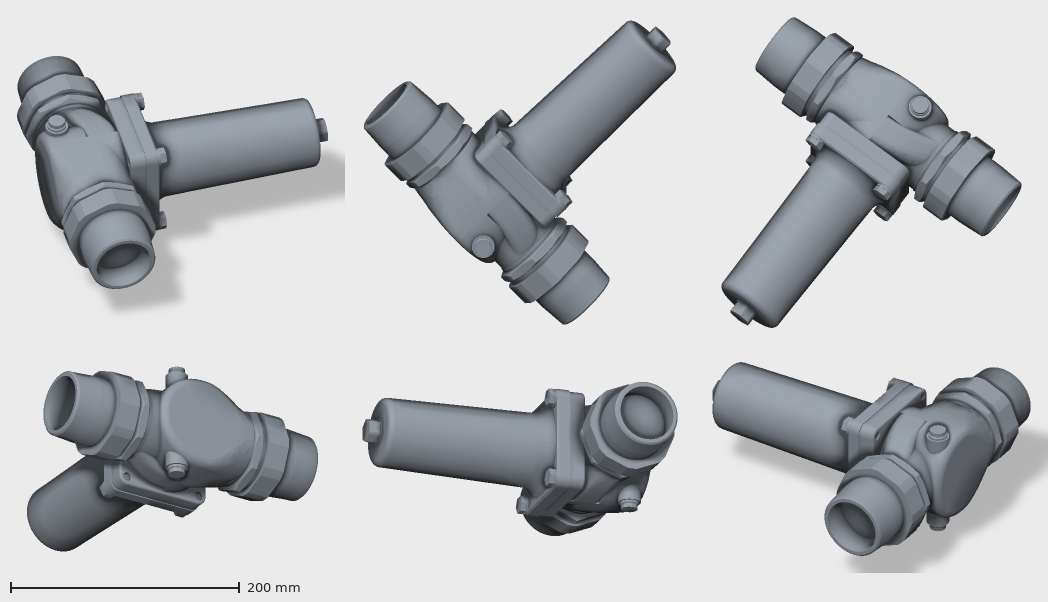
import cadquery as cq
import math


run_length = 250.0
pipe_radius = 30.5
pipe_tip_radius = 29.0
pipe_tip_chamfer = 1.5
pipe_taper_length = 23.5
pipe_bore_diameter = 49.0
pipe_bore_depth = 23.5

nut_outer_x = 87.5
nut_inner_x = 67.3
nut_corner_radius = 39.0
nut_flat_radius = 37.5

collar_radius = 34.2
collar_inner_x = 63.8

tail_nut_inner_x = 54.5
tail_nut_corner_radius = 38.3
tail_nut_chamfer_length = 2.3
tail_nut_chamfer_drop = 4.3

neck_ring_radius = 32.1
neck_ring_x = 51.0
neck_radius = 31.4

body_front_y = -36.7
bulb_radius = 41.8
bulb_top_y = 0.0
bulb_front_fillet = 7.1
chamber_base_y = 7.7
chamber_top_y = 29.3
chamber_core_radius = 37.0

outlet_sections = [
    (0, body_front_y, 33.2, bulb_radius, bulb_front_fillet, 25.5),
    (17.9, body_front_y, 34.0, 40.3, 10.2, 26.8),
    (35.7, body_front_y, 34.7, 36.0, 21.2, 28.0),
    (53.5, -35.2, 35.2, 30.5, 28.0, 28.0),
]
inlet_sections = [
    (0, bulb_top_y, 32.0, bulb_radius, 5.0, 10.2),
    (-25.5, -3.8, 26.0, 39.3, 7.7, 9.7),
    (-51, -15.3, 16.5, 30.5, 12.8, 14.0),
]

body_flange_side = 89.3
body_flange_front_y = 28.3
flange_joint_y = 42.5
cover_flange_side = 91.0
cover_flange_back_y = 54.3
flange_corner_radius = 8.5
flange_edge_fillet = 1.8
cover_edge_chamfer = 1.5

bolt_spacing = 74.5
bolt_head_corners = 15.8
bolt_head_back_y = 61.0
bolt_head_front_y = 55.9
bolt_seat_diameter = 15.8
bolt_hole_diameter = 8.0
bolt_shank_diameter = 6.6
bolt_shank_front_y = 30.5

housing_foot_radius = 40.8
housing_waist_radius = 34.2
housing_waist_y = 61.2
housing_shoulder_y = 68.4
housing_shoulder_radius = 33.0
housing_top_y = 205.0
housing_top_radius = 30.5
housing_top_fillet = 5.4
screw_collar_radius = 11.7
screw_collar_height = 0.8
screw_across_flats = 19.1
screw_corner_diameter = 21.0
screw_top_y = 216.0

boss_x = -18.0
boss_y = -22.0
boss_diameter = 20.0
boss_height = 44.0
plug_ring_diameter = 16.5
plug_ring_top_z = 47.0
plug_ring_chamfer = 1.0
plug_head_diameter = 14.5
plug_head_sides = 12
plug_top_z = 50.5


def revolve_about_x(points):
    """Turn an outline of (x, radius) points around the pipe axis."""
    return cq.Workplane("XY").polyline(points).close().revolve(360, (0, 0, 0), (1, 0, 0))


def revolve_about_y(outline, angle=360):
    """Turn an outline drawn in (x, y) around the housing axis."""
    return outline.close().revolve(angle, (0, 0, 0), (0, 1, 0))


def plane_at_y(y):
    """Workplane facing +Y at the given height, with local x along +X."""
    return cq.Workplane(cq.Plane((0, y, 0), (1, 0, 0), (0, 1, 0)))


def octagon_bar(flat_radius, start_x, end_x):
    """Octagonal bar along +X, with corners on the Y and Z axes."""
    corner_diameter = 2 * flat_radius / math.cos(math.pi / 8)
    return cq.Workplane("YZ", origin=(start_x, 0, 0)).polygon(8, corner_diameter).extrude(end_x - start_x)


def make_pipe_end():
    """Pipe tail, union nut, collar and octagonal tail nut on the +X side."""
    end_x = run_length / 2
    taper_x = end_x - pipe_taper_length
    pipe = revolve_about_x([
        (0, 0),
        (end_x, 0),
        (end_x, pipe_tip_radius - pipe_tip_chamfer),
        (end_x - pipe_tip_chamfer, pipe_tip_radius),
        (taper_x, pipe_radius),
        (nut_inner_x, pipe_radius),
        (nut_inner_x, collar_radius),
        (collar_inner_x, collar_radius),
        (tail_nut_inner_x, neck_ring_radius),
        (neck_ring_x, neck_ring_radius),
        (neck_ring_x, neck_radius),
        (0, neck_radius),
    ])
    bore = cq.Workplane("YZ", origin=(end_x, 0, 0)).circle(pipe_bore_diameter / 2).extrude(-pipe_bore_depth)

    nut_length = nut_outer_x - nut_inner_x
    nut_blank = cq.Workplane("YZ", origin=(nut_inner_x, 0, 0)).circle(nut_corner_radius).extrude(nut_length)
    nut = octagon_bar(nut_flat_radius, nut_inner_x, nut_outer_x).intersect(nut_blank)

    edge_radius = tail_nut_corner_radius - tail_nut_chamfer_drop
    tail_nut_blank = revolve_about_x([
        (tail_nut_inner_x, 0),
        (tail_nut_inner_x, edge_radius),
        (tail_nut_inner_x + tail_nut_chamfer_length, tail_nut_corner_radius),
        (collar_inner_x - tail_nut_chamfer_length, tail_nut_corner_radius),
        (collar_inner_x, edge_radius),
        (collar_inner_x, 0),
    ])
    tail_nut_flat_radius = tail_nut_corner_radius * math.cos(math.pi / 8)
    tail_nut = octagon_bar(tail_nut_flat_radius, tail_nut_inner_x, collar_inner_x).intersect(tail_nut_blank)
    return pipe.cut(bore).union(nut).union(tail_nut)


def body_section(x, bottom, top, half_height, bottom_radius, top_radius):
    """Closed YZ wire at x: a rectangle with separate corner radii below and above."""
    def arc_mid(center_y, center_z, radius, y_sign, z_sign):
        reach = radius * math.sqrt(0.5)
        return (center_y + y_sign * reach, center_z + z_sign * reach)

    low_y = bottom + bottom_radius
    high_y = top - top_radius
    low_z = half_height - bottom_radius
    high_z = half_height - top_radius
    outline = (
        cq.Workplane("YZ", origin=(x, 0, 0))
        .moveTo(low_y, -half_height)
        .lineTo(high_y, -half_height)
        .threePointArc(arc_mid(high_y, -high_z, top_radius, 1, -1), (top, -high_z))
        .lineTo(top, high_z)
        .threePointArc(arc_mid(high_y, high_z, top_radius, 1, 1), (high_y, half_height))
        .lineTo(low_y, half_height)
        .threePointArc(arc_mid(low_y, low_z, bottom_radius, -1, 1), (bottom, low_z))
        .lineTo(bottom, -low_z)
        .threePointArc(arc_mid(low_y, -low_z, bottom_radius, -1, -1), (low_y, -half_height))
        .close()
    )
    return outline.val()


def loft_chamber(sections):
    """Solid blended smoothly through the given body sections."""
    wires = [body_section(*section) for section in sections]
    return cq.Workplane(obj=cq.Solid.makeLoft(wires))


def make_body():
    """Globe body: outlet chamber on +X, seat bulb in front, inlet chamber on -X."""
    outlet = loft_chamber(outlet_sections)
    inlet = loft_chamber(inlet_sections)
    fillet_mid = bulb_front_fillet * (1 - math.sqrt(0.5))
    bulb = revolve_about_y(
        cq.Workplane("XY")
        .moveTo(0, body_front_y)
        .lineTo(bulb_radius - bulb_front_fillet, body_front_y)
        .threePointArc(
            (bulb_radius - fillet_mid, body_front_y + fillet_mid),
            (bulb_radius, body_front_y + bulb_front_fillet),
        )
        .lineTo(bulb_radius, bulb_top_y)
        .lineTo(0, bulb_top_y),
        180,
    ).rotate((0, 0, 0), (0, 1, 0), 90)
    chamber = revolve_about_y(
        cq.Workplane("XY")
        .moveTo(0, chamber_base_y)
        .lineTo(bulb_radius, chamber_base_y)
        .lineTo(bulb_radius, chamber_top_y)
        .lineTo(0, chamber_top_y),
        180,
    ).rotate((0, 0, 0), (0, 1, 0), -90)
    core = plane_at_y(chamber_base_y).circle(chamber_core_radius).extrude(chamber_top_y - chamber_base_y)
    return outlet.union(inlet).union(bulb).union(chamber).union(core)


def square_plate(side, start_y, end_y):
    """Square plate with rounded corners, centred on the housing axis."""
    plate = plane_at_y(start_y).rect(side, side).extrude(end_y - start_y)
    return plate.edges("|Y").fillet(flange_corner_radius)


def make_flanges():
    """Body flange and cover flange, with the blind bolt holes in front."""
    body_flange = square_plate(body_flange_side, body_flange_front_y, flange_joint_y)
    body_flange = body_flange.faces("<Y").edges().fillet(flange_edge_fillet)
    cover_flange = square_plate(cover_flange_side, flange_joint_y, cover_flange_back_y)
    cover_flange = cover_flange.faces(">Y").edges().chamfer(cover_edge_chamfer)
    holes = (
        plane_at_y(body_flange_front_y)
        .rect(bolt_spacing, bolt_spacing, forConstruction=True)
        .vertices()
        .circle(bolt_hole_diameter / 2)
        .extrude(flange_joint_y - body_flange_front_y)
    )
    return body_flange.cut(holes).union(cover_flange)


def make_bolts():
    """Four hexagon bolts: head, seat and shank at each flange corner."""
    def at_corners(y):
        return plane_at_y(y).rect(bolt_spacing, bolt_spacing, forConstruction=True).vertices()

    head_height = bolt_head_back_y - bolt_head_front_y
    seat_height = bolt_head_front_y - flange_joint_y
    shank_length = flange_joint_y - bolt_shank_front_y
    heads = at_corners(bolt_head_front_y).polygon(6, bolt_head_corners).extrude(head_height)
    seats = at_corners(flange_joint_y).circle(bolt_seat_diameter / 2).extrude(seat_height)
    shanks = at_corners(bolt_shank_front_y).circle(bolt_shank_diameter / 2).extrude(shank_length)
    return heads.union(seats).union(shanks)


def make_housing():
    """Slightly tapered spring housing with its adjusting screw."""
    fillet_mid = housing_top_fillet * (1 - math.sqrt(0.5))
    shell = revolve_about_y(
        cq.Workplane("XY")
        .moveTo(0, flange_joint_y)
        .lineTo(housing_foot_radius, flange_joint_y)
        .lineTo(housing_foot_radius, cover_flange_back_y)
        .threePointArc(
            (housing_waist_radius, housing_waist_y),
            (housing_shoulder_radius, housing_shoulder_y),
        )
        .lineTo(housing_top_radius, housing_top_y - housing_top_fillet)
        .threePointArc(
            (housing_top_radius - fillet_mid, housing_top_y - fillet_mid),
            (housing_top_radius - housing_top_fillet, housing_top_y),
        )
        .lineTo(0, housing_top_y)
    )
    collar = plane_at_y(housing_top_y).circle(screw_collar_radius).extrude(screw_collar_height)
    screw_height = screw_top_y - housing_top_y
    hexagon_corners = screw_across_flats / math.cos(math.pi / 6)
    hexagon = plane_at_y(housing_top_y).polygon(6, hexagon_corners).extrude(screw_height)
    hexagon = hexagon.rotate((0, 0, 0), (0, 1, 0), 30)
    turned_blank = plane_at_y(housing_top_y).circle(screw_corner_diameter / 2).extrude(screw_height)
    return shell.union(collar).union(hexagon.intersect(turned_blank))


def make_drain_boss():
    """Drain boss with its sealing ring and many-sided plug head, pointing up."""
    axis = cq.Workplane("XY", origin=(boss_x, boss_y, 0))
    boss = axis.circle(boss_diameter / 2).extrude(boss_height)
    ring = axis.circle(plug_ring_diameter / 2).extrude(plug_ring_top_z)
    ring = ring.faces(">Z").edges().chamfer(plug_ring_chamfer)
    head = axis.polygon(plug_head_sides, plug_head_diameter).extrude(plug_top_z)
    return boss.union(ring).union(head)


pipe_end = make_pipe_end()
drain_boss = make_drain_boss()

result = (
    make_body()
    .union(pipe_end)
    .union(pipe_end.mirror("YZ"))
    .union(make_flanges())
    .union(make_housing())
    .union(make_bolts())
    .union(drain_boss)
    .union(drain_boss.mirror("XY"))
)